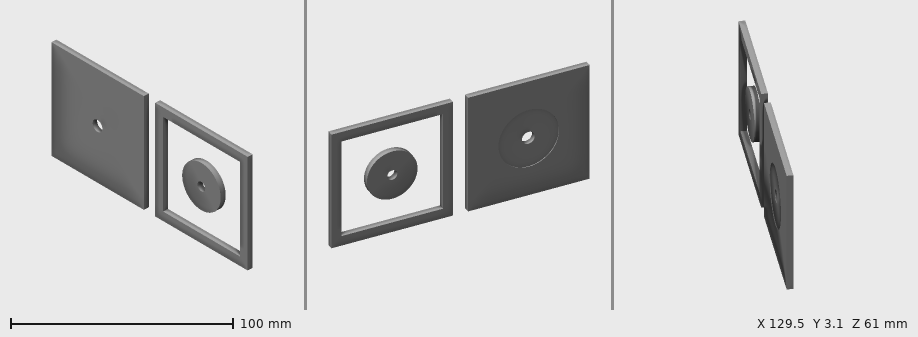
import cadquery as cq

overall_length = 129.5
side = 61.0
thickness = 3.1

plate_hole_diameter = 6.3
recess_diameter = 30.5
recess_depth = 0.4
frame_opening = 50.8
disc_diameter = 25.4
disc_hole_diameter = 5.0

square_offset = (overall_length - side) / 2


def sheet_plane(center_x):
    """Workplane on the +Y face of the sheet; extrusions run toward -Y."""
    return cq.Workplane("XZ", origin=(center_x, thickness / 2, 0))


def make_plate():
    """Square plate with a central through hole and a shallow round recess in its +Y face."""
    recess = sheet_plane(-square_offset).circle(recess_diameter / 2).extrude(recess_depth)
    return (
        sheet_plane(-square_offset)
        .rect(side, side)
        .circle(plate_hole_diameter / 2)
        .extrude(thickness)
        .cut(recess)
    )


def make_frame():
    """Square frame with a square opening."""
    return (
        sheet_plane(square_offset)
        .rect(side, side)
        .rect(frame_opening, frame_opening)
        .extrude(thickness)
    )


def make_disc():
    """Round disc with a central through hole, loose in the middle of the frame."""
    return (
        sheet_plane(square_offset)
        .circle(disc_diameter / 2)
        .circle(disc_hole_diameter / 2)
        .extrude(thickness)
    )


plate = make_plate()
frame = make_frame()
disc = make_disc()

result = cq.Compound.makeCompound([plate.val(), frame.val(), disc.val()])